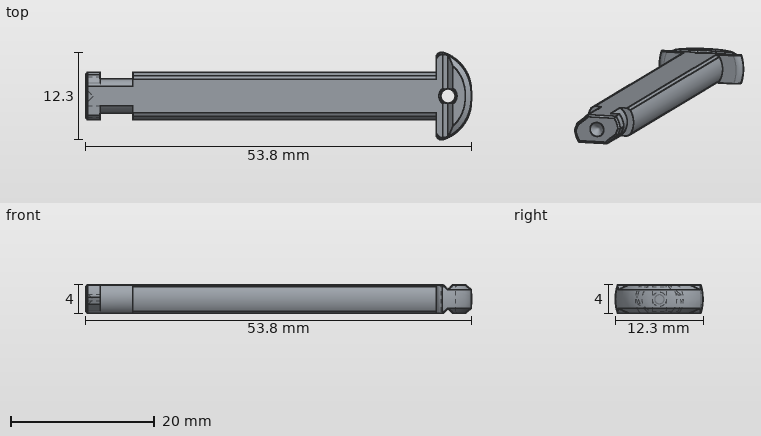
import cadquery as cq
import math

length = 53.75
thickness = 4.0
half_thickness = thickness / 2

shank_radius = 3.35
shank_start = 6.55
shank_chamfer_y = 2.85
shank_flat_half_width = 2.35

neck_radius = 2.4
key_length = 2.0
tip_chamfer = 0.25
key_flat_half_width = 1.3
key_relief_y = 2.95
key_relief_z = 0.7
key_relief_top = 0.25
center_hole_diameter = 2.0
center_hole_angle = 90.0

head_start = 48.8
head_radius = 6.15
head_fillet = 0.85
crown_radius = 0.65

groove_x = 50.45
groove_depth = 0.7
cross_hole_diameter = 2.0
cross_hole_chamfer = 0.25


def across_circle(radius, offset):
    """Other coordinate of the point on a centred circle, given one coordinate."""
    return math.sqrt(radius**2 - offset**2)


def flat_slab(radius):
    """Slab as thick as the part and larger than a round of the given radius."""
    return cq.Workplane("XY").box(4 * length, 4 * radius, thickness)


def make_neck():
    """Flatted round core running from the tip, through the key, to the shank."""
    bar = cq.Workplane("YZ").circle(neck_radius).extrude(shank_start)
    return bar.intersect(flat_slab(neck_radius)).faces("<X").chamfer(tip_chamfer)


def make_shank():
    """Flatted bar whose four long edges are bevelled."""
    bevel_z = across_circle(shank_radius, shank_chamfer_y)
    section = cq.Workplane("YZ", origin=(shank_start, 0, 0))
    section = section.moveTo(-shank_flat_half_width, half_thickness)
    for side in (1, -1):
        section = (
            section.lineTo(side * shank_flat_half_width, side * half_thickness)
            .lineTo(side * shank_chamfer_y, side * bevel_z)
            .threePointArc((side * shank_radius, 0), (side * shank_chamfer_y, -side * bevel_z))
            .lineTo(side * shank_flat_half_width, -side * half_thickness)
        )
    return section.close().extrude(head_start + head_fillet - shank_start)


def make_key():
    """Quarter-turn key: two opposite corners stay round, the other two are cut back to the neck."""
    round_y = across_circle(shank_radius, half_thickness)
    relief_top_y = across_circle(shank_radius, key_relief_top)
    arc_mid_z = -(half_thickness + key_relief_top) / 2
    arc_mid_y = across_circle(shank_radius, arc_mid_z)

    outline = cq.Workplane("YZ").moveTo(-round_y, half_thickness)
    for side in (1, -1):
        outline = (
            outline.lineTo(side * key_flat_half_width, side * half_thickness)
            .lineTo(side * key_relief_y, side * key_relief_z)
            .lineTo(side * relief_top_y, -side * key_relief_top)
            .threePointArc(
                (side * arc_mid_y, side * arc_mid_z),
                (side * round_y, -side * half_thickness),
            )
        )
    return outline.close().extrude(key_length).faces("<X").chamfer(tip_chamfer)


def make_head():
    """Mushroom head turned about X, cut to the flats; the dome beyond the groove is bevelled."""
    rim_x = head_start + head_fillet
    fillet_center_radius = head_radius - head_fillet
    fillet_offset = head_fillet * math.sqrt(0.5)
    fillet_mid = (rim_x - fillet_offset, fillet_center_radius + fillet_offset)

    dome_height = length - rim_x
    dome_width = head_radius - crown_radius
    dome_arc_radius = (dome_height**2 + dome_width**2) / (2 * dome_height)
    half_sweep = math.atan2(dome_height, dome_width)
    dome_mid = (
        length - dome_arc_radius * (1 - math.cos(half_sweep)),
        crown_radius + dome_arc_radius * math.sin(half_sweep),
    )
    turned = (
        cq.Workplane("XY")
        .moveTo(head_start, 0)
        .lineTo(head_start, fillet_center_radius)
        .threePointArc(fillet_mid, (rim_x, head_radius))
        .threePointArc(dome_mid, (length, crown_radius))
        .lineTo(length, 0)
        .close()
        .revolve(360, (0, 0, 0), (1, 0, 0))
    )
    head = turned.intersect(flat_slab(head_radius))

    block_length = 2 * (length - head_start)
    flange_block = (
        cq.Workplane("XY")
        .box(block_length, 4 * head_radius, thickness)
        .translate((groove_x - block_length / 2, 0, 0))
    )
    flange = head.intersect(flange_block)
    dome = head.cut(flange_block)
    dome = dome.faces("|Z").edges("not |Y").chamfer(groove_depth)
    return flange.union(dome)


def make_groove(side):
    """V groove along Y; side is +1 for the top face and -1 for the bottom face."""
    surface = side * half_thickness
    return (
        cq.Workplane("XZ")
        .moveTo(groove_x - groove_depth, surface)
        .lineTo(groove_x, surface - side * groove_depth)
        .lineTo(groove_x + groove_depth, surface)
        .close()
        .extrude(2 * head_radius, both=True)
    )


def make_cross_hole():
    """Hole along Z through the head, countersunk from both faces."""
    radius = cross_hole_diameter / 2
    mouth_radius = radius + cross_hole_chamfer
    inner_z = half_thickness - cross_hole_chamfer
    profile = [
        (0, -half_thickness),
        (mouth_radius, -half_thickness),
        (radius, -inner_z),
        (radius, inner_z),
        (mouth_radius, half_thickness),
        (0, half_thickness),
    ]
    hole = cq.Workplane("XZ").polyline(profile).close().revolve(360, (0, 0, 0), (0, 1, 0))
    return hole.translate((groove_x, 0, 0))


def make_center_hole():
    """Conical centre hole in the tip."""
    radius = center_hole_diameter / 2
    depth = radius / math.tan(math.radians(center_hole_angle / 2))
    cone = cq.Workplane("XY").polyline([(0, 0), (0, radius), (depth, 0)]).close()
    return cone.revolve(360, (0, 0, 0), (1, 0, 0))


result = make_key().union(make_neck()).union(make_shank()).union(make_head())
for groove_side in (1, -1):
    result = result.cut(make_groove(groove_side))
result = result.cut(make_cross_hole()).cut(make_center_hole())